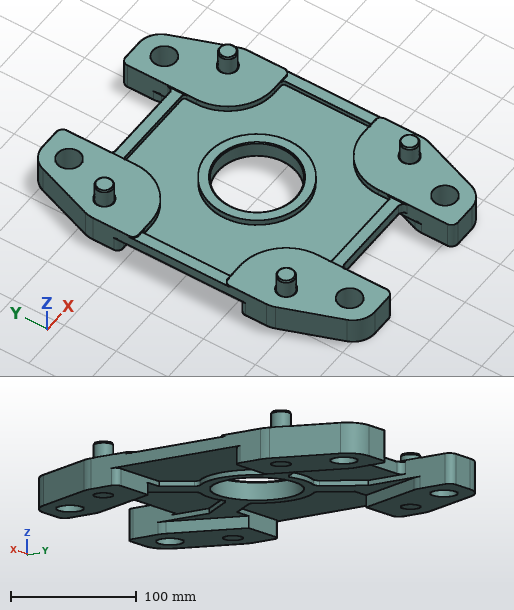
import cadquery as cq
import math

frame_width = 220.0
total_length = 320.0
total_height = 42.5
foot_height = 25.3
half_frame = frame_width / 2
half_length = total_length / 2

frame_bottom = 14.0
frame_top = 24.0
floor_top = 20.0
rail_width = 10.2
cross_arm_width = 128.0
pocket_corner_radius = 3.0
rail_end_radius = 4.8

ring_diameter = 94.0
bore_diameter = 75.0
edge_chamfer = 1.0

pin_spacing = 175.0
pin_offset = pin_spacing / 2
foot_inner_x = 43.0
foot_round_radius = pin_offset - foot_inner_x
upper_heel_y = pin_offset - foot_round_radius
lower_heel_y = 58.0
slant_start_y = 125.5
slant_round_radius = 20.0
toe_corner_radius = 6.0
heel_corner_radius = 5.5
taper_angle = 20.4
toe_radius = 21.0
toe_center_x = 68.5
toe_center_y = half_length - toe_radius
hip_radius = 23.0
bolt_hole_diameter = 22.0
bolt_x = 67.5
bolt_y = 135.0

pin_diameter = 16.0
pin_tip_height = 1.5

rib_width = 20.0
rib_angle = 55.0
rib_bottom = 10.0
rib_reach = 121.5
rib_blend_radius = 5.0

corner_signs = [(-1, -1), (-1, 1), (1, -1), (1, 1)]
pin_points = [(sign_x * pin_offset, sign_y * pin_offset) for sign_x, sign_y in corner_signs]
bolt_points = [(sign_x * bolt_x, sign_y * bolt_y) for sign_x, sign_y in corner_signs]


def place_in_corner(body, sign_x, sign_y):
    """Mirror a body modelled in the +X +Y corner into the corner with the given signs."""
    if sign_x < 0:
        body = body.mirror("YZ")
    if sign_y < 0:
        body = body.mirror("XZ")
    return body


def foot_layer(inner_corners, bottom, top):
    """One layer of the +X +Y foot, closed by sharp inner corners in order from the toe to the heel."""
    angle = math.radians(taper_angle)
    toe_end = (
        toe_center_x + toe_radius * math.cos(angle),
        toe_center_y + toe_radius * math.sin(angle),
    )
    toe_middle_angle = (math.pi / 2 + angle) / 2
    toe_middle = (
        toe_center_x + toe_radius * math.cos(toe_middle_angle),
        toe_center_y + toe_radius * math.sin(toe_middle_angle),
    )
    hip_corner_y = toe_end[1] - (half_frame - toe_end[0]) / math.tan(angle)
    hip_tangent = hip_radius * math.tan(angle / 2)
    hip_start = (half_frame, hip_corner_y - hip_tangent)
    hip_end = (
        half_frame - hip_tangent * math.sin(angle),
        hip_corner_y + hip_tangent * math.cos(angle),
    )
    heel_y = inner_corners[-1][1]
    outline = (
        cq.Workplane("XY", origin=(0, 0, bottom))
        .moveTo(half_frame - heel_corner_radius, heel_y)
        .radiusArc((half_frame, heel_y + heel_corner_radius), -heel_corner_radius)
        .lineTo(*hip_start)
        .radiusArc(hip_end, -hip_radius)
        .lineTo(*toe_end)
        .threePointArc(toe_middle, (toe_center_x, half_length))
        .lineTo(foot_inner_x + toe_corner_radius, half_length)
        .radiusArc((foot_inner_x, half_length - toe_corner_radius), -toe_corner_radius)
    )
    for corner in inner_corners:
        outline = outline.lineTo(*corner)
    return outline.close().extrude(top - bottom)


def round_corner(layer, corner, height, radius):
    """Round the upright edge of a layer that stands at a plan position."""
    upright_edge = cq.selectors.NearestToPointSelector((*corner, height))
    return layer.edges("|Z").edges(upright_edge).fillet(radius)


def make_foot():
    """A complete foot in the +X +Y corner, without its holes."""
    upper_corner = (foot_inner_x, upper_heel_y)
    upper = foot_layer([upper_corner], frame_bottom, foot_height)
    upper = round_corner(upper, upper_corner, foot_height, foot_round_radius)

    middle = foot_layer([(foot_inner_x, lower_heel_y)], rib_bottom, frame_bottom)

    slant_run = (slant_start_y - lower_heel_y) * math.tan(math.radians(taper_angle))
    slant_start = (foot_inner_x, slant_start_y)
    slant_end = (foot_inner_x + slant_run, lower_heel_y)
    lower = foot_layer([slant_start, slant_end], 0, rib_bottom)
    lower = round_corner(lower, slant_start, 0, slant_round_radius)
    return upper.union(middle).union(lower)


def slab(size_x, size_y, bottom, top):
    """A block centred on the Z axis."""
    return (
        cq.Workplane("XY", origin=(0, 0, bottom))
        .rect(size_x, size_y)
        .extrude(top - bottom)
    )


def cylinders(points, diameter, bottom, top):
    """Upright cylinders at the given plan positions."""
    return (
        cq.Workplane("XY", origin=(0, 0, bottom))
        .pushPoints(points)
        .circle(diameter / 2)
        .extrude(top - bottom)
    )


def make_frame():
    """The solid cross that links the feet, its end arms flared where they meet the feet."""
    side_arms = slab(frame_width, cross_arm_width, frame_bottom, frame_top)
    end_arms = slab(cross_arm_width, frame_width, frame_bottom, frame_top)
    frame = side_arms.union(end_arms)
    flare = (
        cq.Workplane("XY", origin=(0, 0, frame_bottom))
        .moveTo(foot_inner_x, half_frame)
        .lineTo(foot_inner_x - rail_end_radius, half_frame)
        .radiusArc((foot_inner_x, half_frame + rail_end_radius), -rail_end_radius)
        .close()
        .extrude(frame_top - frame_bottom)
    )
    for sign_x, sign_y in corner_signs:
        frame = frame.union(place_in_corner(flare, sign_x, sign_y))
    return frame


def make_pocket(feet):
    """The recess above the floor: a square inside the rails, less the four feet."""
    pocket_width = frame_width - 2 * rail_width
    pocket = slab(pocket_width, pocket_width, floor_top, foot_height)
    for foot in feet:
        pocket = pocket.cut(foot)
    return pocket.edges("|Z and (>X or <X or >Y or <Y)").fillet(pocket_corner_radius)


def make_ribs():
    """A disc under the centre ring with diagonal ribs that run from it into the feet."""
    disc = cylinders([(0, 0)], ring_diameter, rib_bottom, frame_bottom)
    ribs = disc.rotate((0, 0, 0), (0, 0, 1), rib_angle)
    for angle in (rib_angle, -rib_angle):
        rib = slab(2 * rib_reach, rib_width, rib_bottom, frame_bottom)
        ribs = ribs.union(rib.rotate((0, 0, 0), (0, 0, 1), angle))
    around_disc = cq.selectors.BoxSelector(
        (-ring_diameter / 2, -ring_diameter / 2, 0),
        (ring_diameter / 2, ring_diameter / 2, foot_height),
    )
    return ribs.edges("|Z").edges(around_disc).fillet(rib_blend_radius)


def chamfered_holes(points, diameter):
    """Cutter for through holes with a chamfer at the upper rim."""
    holes = cylinders(points, diameter, 0, foot_height)
    rim = (
        cq.Workplane("XY", origin=(0, 0, foot_height))
        .pushPoints(points)
        .circle(diameter / 2 + edge_chamfer)
        .extrude(-edge_chamfer, taper=45)
    )
    return holes.union(rim)


def make_plate():
    """The complete plate with its feet, ribs, ring and holes."""
    foot = make_foot()
    feet = [place_in_corner(foot, sign_x, sign_y) for sign_x, sign_y in corner_signs]
    plate = make_frame().cut(make_pocket(feet))
    for foot in feet:
        plate = plate.union(foot)
    plate = plate.union(make_ribs())
    plate = plate.union(cylinders([(0, 0)], ring_diameter, floor_top, foot_height))
    plate = plate.cut(chamfered_holes([(0, 0)], bore_diameter))
    plate = plate.cut(chamfered_holes(pin_points, pin_diameter))
    return plate.cut(cylinders(bolt_points, bolt_hole_diameter, 0, foot_height))


def make_pin(point):
    """A straight pin through a foot, chamfered at the tip."""
    pin = cylinders([point], pin_diameter, 0, total_height)
    return pin.faces(">Z").chamfer(pin_tip_height, edge_chamfer)


plate = make_plate()
pins = [make_pin(point) for point in pin_points]

result = cq.Compound.makeCompound([plate.val(), *[pin.val() for pin in pins]])